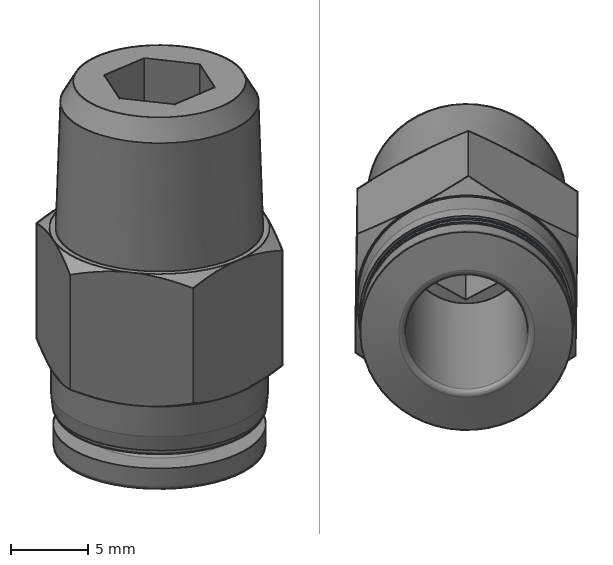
import cadquery as cq
import math

total_height = 26.4
thread_chamfer_z = 24.95
hex_top_z = 15.92
hex_bottom_z = 6.45
sleeve_taper_z = 4.28
sleeve_ledge_z = 3.22
sleeve_bottom_z = 2.82
flange_top_z = 1.93
flange_edge_z = 0.6

thread_tip_diameter = 11.2
thread_small_diameter = 12.88
thread_large_diameter = 13.5
sleeve_diameter = 14.1
sleeve_taper_diameter = 13.89
sleeve_end_diameter = 13.57
neck_diameter = 9.93
flange_diameter = 13.8
flange_cone_diameter = 13.75
tube_bore_diameter = 7.95

sleeve_end_chamfer = 0.1
neck_fillet = 0.3
lip_radius = 0.37
flange_cone_angle = 10.0

hex_flats = 14.28
socket_flats = 6.42
hex_chamfer_angle = 30.0


def revolve_profile(steps):
    """Revolve (diameter, z) steps about the Z axis."""
    outline = [(diameter / 2, z) for diameter, z in steps]
    closed = [(0, steps[0][1])] + outline + [(0, steps[-1][1])]
    return cq.Workplane("XZ").polyline(closed).close().revolve(360, (0, 0), (0, 1))


def hex_prism(flats, bottom_z, top_z):
    """Hexagonal prism with corners on the Y axis and flats facing X."""
    corner_diameter = flats / math.cos(math.radians(30))
    return (
        cq.Workplane("XY")
        .workplane(offset=bottom_z)
        .transformed(rotate=(0, 0, 90))
        .polygon(6, corner_diameter)
        .extrude(top_z - bottom_z)
    )


def chamfered_hex():
    """Wrench hexagon with its corners turned off conically at both ends."""
    envelope_diameter = 1.2 * hex_flats
    drop = (envelope_diameter - hex_flats) / 2 * math.tan(math.radians(hex_chamfer_angle))
    envelope = revolve_profile([
        (hex_flats, hex_bottom_z),
        (envelope_diameter, hex_bottom_z + drop),
        (envelope_diameter, hex_top_z - drop),
        (hex_flats, hex_top_z),
    ])
    return hex_prism(hex_flats, hex_bottom_z, hex_top_z).intersect(envelope)


def release_flange():
    """Flange and neck: coned underside, rounded bore lip and a fillet under the neck."""
    bore_radius = tube_bore_diameter / 2
    flange_radius = flange_diameter / 2
    neck_radius = neck_diameter / 2
    cone_radius = flange_cone_diameter / 2
    slope = math.radians(flange_cone_angle)
    lip_center = bore_radius + lip_radius

    def lip_point(angle):
        """Point on the lip arc, with the angle measured from straight down."""
        return (lip_center + lip_radius * math.sin(angle), lip_radius * (1 - math.cos(angle)))

    cone_start = lip_point(slope)
    cone_end_z = cone_start[1] + (cone_radius - cone_start[0]) * math.tan(slope)
    fillet_offset = neck_fillet * (1 - math.sqrt(0.5))
    return (
        cq.Workplane("XZ")
        .moveTo(bore_radius, lip_radius)
        .threePointArc(lip_point(-math.pi / 4), cone_start)
        .lineTo(cone_radius, cone_end_z)
        .lineTo(flange_radius, flange_edge_z)
        .lineTo(flange_radius, flange_top_z)
        .lineTo(neck_radius + neck_fillet, flange_top_z)
        .threePointArc(
            (neck_radius + fillet_offset, flange_top_z + fillet_offset),
            (neck_radius, flange_top_z + neck_fillet),
        )
        .lineTo(neck_radius, sleeve_bottom_z)
        .lineTo(bore_radius, sleeve_bottom_z)
        .close()
        .revolve(360, (0, 0), (0, 1))
    )


body = revolve_profile([
    (sleeve_end_diameter - 2 * sleeve_end_chamfer, sleeve_bottom_z),
    (sleeve_end_diameter, sleeve_bottom_z + sleeve_end_chamfer),
    (sleeve_end_diameter, sleeve_ledge_z),
    (sleeve_taper_diameter, sleeve_ledge_z),
    (sleeve_diameter, sleeve_taper_z),
    (sleeve_diameter, hex_bottom_z),
    (thread_large_diameter, hex_bottom_z),
    (thread_large_diameter, hex_top_z),
    (thread_small_diameter, thread_chamfer_z),
    (thread_tip_diameter, total_height),
])

tube_bore = cq.Workplane("XY").circle(tube_bore_diameter / 2).extrude(hex_top_z)

socket = hex_prism(socket_flats, 0, total_height)

result = body.union(chamfered_hex()).union(release_flange()).cut(tube_bore).cut(socket)